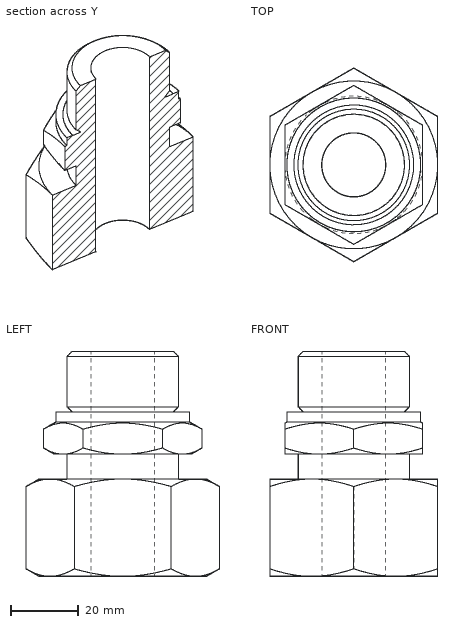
import cadquery as cq
import math

total_height = 67.0
nut_height = 29.0
body_hex_bottom = 36.4
body_hex_top = 46.0
collar_top = 49.0
shank_bottom = 50.5

nut_across_flats = 50.0
body_across_flats = 41.0
body_top_circle = 39.84
hex_chamfer_angle = 30.0
half_hex_sector = 30.0

bore_diameter = 19.0
stud_diameter = 33.25
collar_diameter = 39.9
collar_recess_diameter = 35.7
collar_recess_depth = 0.1
stud_chamfer = 1.5


def cylinder(diameter, bottom, top):
    """Cylinder on the Z axis between two heights."""
    return cq.Workplane("XY").workplane(offset=bottom).circle(diameter / 2).extrude(top - bottom)


def chamfered_hexagon(across_flats, bottom, top, bottom_circle, top_circle):
    """Hexagonal prism with flats facing +X and -X, its corners turned off by a cone at each end."""
    across_corners = across_flats / math.cos(math.radians(half_hex_sector))
    corner_radius = across_corners / 2
    slope = math.tan(math.radians(hex_chamfer_angle))
    bottom_drop = (corner_radius - bottom_circle / 2) * slope
    top_drop = (corner_radius - top_circle / 2) * slope

    prism = (
        cq.Workplane("XY")
        .workplane(offset=bottom)
        .transformed(rotate=(0, 0, half_hex_sector))
        .polygon(6, across_corners)
        .extrude(top - bottom)
    )
    turned_envelope = (
        cq.Workplane("XZ")
        .moveTo(0, bottom)
        .lineTo(bottom_circle / 2, bottom)
        .lineTo(corner_radius, bottom + bottom_drop)
        .lineTo(corner_radius, top - top_drop)
        .lineTo(top_circle / 2, top)
        .lineTo(0, top)
        .close()
        .revolve(360, (0, 0, 0), (0, 1, 0))
    )
    return prism.intersect(turned_envelope)


def upper_stud():
    """Upper stud: core inside the collar, 45 degree run-out cone, plain shank and chamfered end."""
    stud_radius = stud_diameter / 2
    cone_bottom = collar_top - collar_recess_depth
    cone_bottom_radius = stud_radius - (shank_bottom - cone_bottom)
    return (
        cq.Workplane("XZ")
        .moveTo(0, body_hex_top)
        .lineTo(cone_bottom_radius, body_hex_top)
        .lineTo(cone_bottom_radius, cone_bottom)
        .lineTo(stud_radius, shank_bottom)
        .lineTo(stud_radius, total_height - stud_chamfer)
        .lineTo(stud_radius - stud_chamfer, total_height)
        .lineTo(0, total_height)
        .close()
        .revolve(360, (0, 0, 0), (0, 1, 0))
    )


def collar():
    """Sealing collar with a shallow round recess in its top face."""
    ring = cylinder(collar_diameter, body_hex_top, collar_top)
    recess = cylinder(collar_recess_diameter, collar_top - collar_recess_depth, collar_top)
    return ring.cut(recess)


nut = chamfered_hexagon(nut_across_flats, 0, nut_height, nut_across_flats, nut_across_flats)
neck = cylinder(stud_diameter, nut_height, body_hex_bottom)
body_hex = chamfered_hexagon(
    body_across_flats, body_hex_bottom, body_hex_top, body_across_flats, body_top_circle
)
bore = cylinder(bore_diameter, 0, total_height)

result = nut.union(neck).union(body_hex).union(collar()).union(upper_stud()).cut(bore)